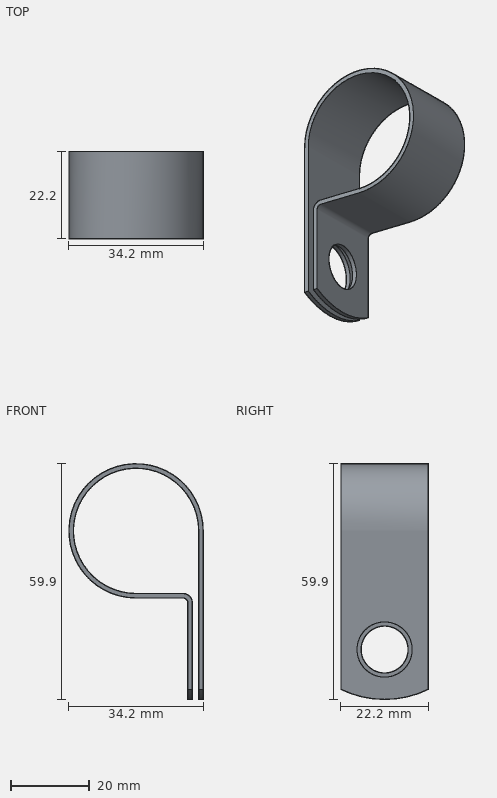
import cadquery as cq
import math

height = 59.95
width = 22.25
thickness = 1.2
loop_radius = 17.1
leg_gap = 1.55
bend_radius = 1.2
short_leg_hole_diameter = 11.85
long_leg_hole_diameter = 14.0
hole_height = 12.7
end_rise = 2.6

loop_z = height - loop_radius
inner_radius = loop_radius - thickness
short_leg_outer = inner_radius - leg_gap
short_leg_inner = short_leg_outer - thickness
shelf_bottom = loop_z - loop_radius
shelf_top = shelf_bottom + thickness
outer_bend = bend_radius + thickness
bend_x = short_leg_outer - outer_bend
bend_z = shelf_top - outer_bend


def loop_point(radius, degrees):
    angle = math.radians(degrees)
    return (radius * math.cos(angle), loop_z + radius * math.sin(angle))


def bend_middle(radius):
    offset = radius * math.sqrt(0.5)
    return (bend_x + offset, bend_z + offset)


def make_strip():
    """Bent strip: long leg, three-quarter loop, flat shelf and short leg."""
    return (
        cq.Workplane("XZ")
        .moveTo(loop_radius, 0)
        .lineTo(loop_radius, loop_z)
        .threePointArc(loop_point(loop_radius, 135), (0, shelf_bottom))
        .lineTo(bend_x, shelf_bottom)
        .threePointArc(bend_middle(bend_radius), (short_leg_inner, bend_z))
        .lineTo(short_leg_inner, 0)
        .lineTo(short_leg_outer, 0)
        .lineTo(short_leg_outer, bend_z)
        .threePointArc(bend_middle(outer_bend), (bend_x, shelf_top))
        .lineTo(0, shelf_top)
        .threePointArc(loop_point(inner_radius, 135), (inner_radius, loop_z))
        .lineTo(inner_radius, 0)
        .close()
        .extrude(width / 2, both=True)
    )


def make_side_outline():
    """Block with the strip's side outline, including the rounded lower end."""
    return (
        cq.Workplane("YZ")
        .moveTo(-width / 2, height)
        .lineTo(-width / 2, end_rise)
        .threePointArc((0, 0), (width / 2, end_rise))
        .lineTo(width / 2, height)
        .close()
        .extrude(loop_radius, both=True)
    )


def make_bolt_hole(diameter, start_x, end_x):
    """Cylinder along X between two places, on the common hole axis."""
    return (
        cq.Workplane("YZ", origin=(start_x, 0, hole_height))
        .circle(diameter / 2)
        .extrude(end_x - start_x)
    )


gap_middle = short_leg_outer + leg_gap / 2
short_leg_hole = make_bolt_hole(short_leg_hole_diameter, 0, gap_middle)
long_leg_hole = make_bolt_hole(long_leg_hole_diameter, gap_middle, loop_radius)

strip = make_strip().intersect(make_side_outline())
result = strip.cut(short_leg_hole).cut(long_leg_hole)